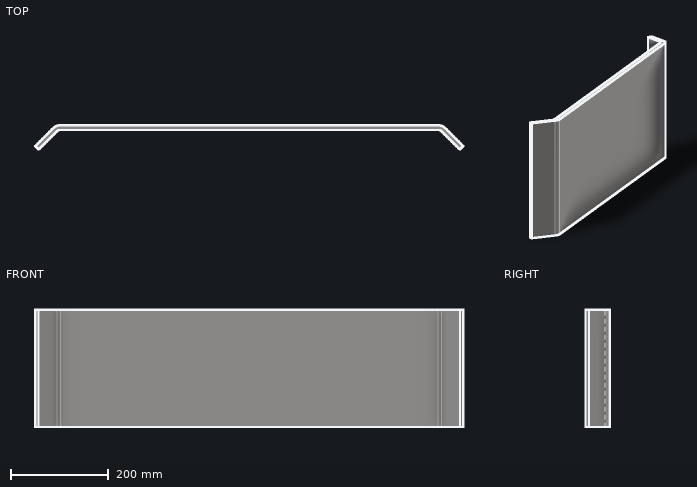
import cadquery as cq
import math

overall_length = 874.14
overall_depth = 50.03
height = 240.0

thickness = 10.0
inner_radius = 10.0
outer_radius = inner_radius + thickness
bend_angle = math.radians(45)

sin_bend = math.sin(bend_angle)
cos_bend = math.cos(bend_angle)

bend_drop = outer_radius * (1 - cos_bend)
flange_length = (overall_depth - bend_drop - thickness * cos_bend) / sin_bend
half_flat = overall_length / 2 - outer_radius * sin_bend - flange_length * cos_bend

back_y = overall_depth / 2
bend_center_y = back_y - outer_radius


def bend_point(side, radius, angle):
    """Point on a bend arc, measured from the panel's tangent line; side is -1 or +1."""
    x = half_flat + radius * math.sin(angle)
    y = bend_center_y + radius * math.cos(angle)
    return (side * x, y)


def flange_tip(side, radius):
    """End of the straight flange whose face continues the bend arc of this radius."""
    x = half_flat + radius * sin_bend + flange_length * cos_bend
    y = bend_center_y + radius * cos_bend - flange_length * sin_bend
    return (side * x, y)


def bent_sheet():
    """Flat panel with a flange bent toward -Y at each end, extruded along Z."""
    half_angle = bend_angle / 2
    profile = (
        cq.Workplane("XY")
        .workplane(offset=-height / 2)
        .moveTo(*bend_point(-1, outer_radius, 0))
        .lineTo(*bend_point(1, outer_radius, 0))
        .threePointArc(bend_point(1, outer_radius, half_angle), bend_point(1, outer_radius, bend_angle))
        .lineTo(*flange_tip(1, outer_radius))
        .lineTo(*flange_tip(1, inner_radius))
        .lineTo(*bend_point(1, inner_radius, bend_angle))
        .threePointArc(bend_point(1, inner_radius, half_angle), bend_point(1, inner_radius, 0))
        .lineTo(*bend_point(-1, inner_radius, 0))
        .threePointArc(bend_point(-1, inner_radius, half_angle), bend_point(-1, inner_radius, bend_angle))
        .lineTo(*flange_tip(-1, inner_radius))
        .lineTo(*flange_tip(-1, outer_radius))
        .lineTo(*bend_point(-1, outer_radius, bend_angle))
        .threePointArc(bend_point(-1, outer_radius, half_angle), bend_point(-1, outer_radius, 0))
        .close()
    )
    return profile.extrude(height)


result = bent_sheet()